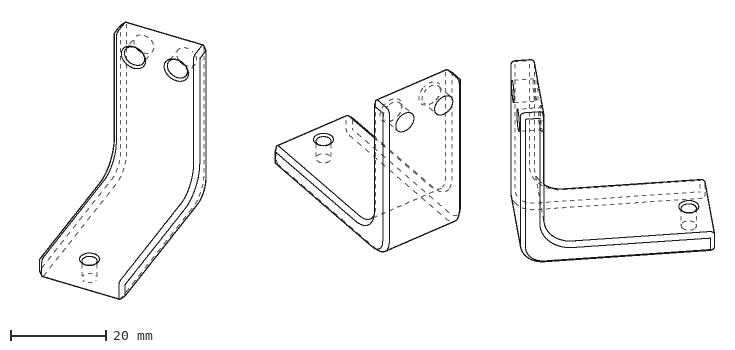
import cadquery as cq

width = 20.0
depth = 41.1
height = 39.9

thickness = 5.0
inner_bend_radius = 6.0
outer_bend_radius = 5.0

edge_size = 1.0
tip_radius = edge_size + 0.005

wall_hole_diameter = 4.7
wall_hole_spacing = 10.0
wall_hole_from_top = 5.0
foot_hole_diameter = 3.2
foot_hole_from_tip = 4.5
hole_chamfer = 0.5

back_y = depth / 2
tip_y = -depth / 2
wall_y = back_y - thickness


def bracket_body():
    """L-shaped bar with a rounded bend, rounded tips and chamfered sides."""
    profile = [
        (tip_y, 0),
        (back_y, 0),
        (back_y, height),
        (wall_y, height),
        (wall_y, thickness),
        (tip_y, thickness),
    ]
    body = cq.Workplane("YZ").polyline(profile).close().extrude(width / 2, both=True)

    def cross_edge(y, z):
        return body.edges(cq.selectors.NearestToPointSelector((0, y, z)))

    body = cross_edge(wall_y, thickness).fillet(inner_bend_radius)
    body = cross_edge(back_y, 0).fillet(outer_bend_radius)
    for y, z in [(tip_y, 0), (tip_y, thickness), (wall_y, height), (back_y, height)]:
        body = cross_edge(y, z).fillet(tip_radius)
    return body.faces("<X or >X").chamfer(edge_size)


def hole_cutter(face_plane, diameter):
    """Through-hole cutter with a chamfered mouth on the plane, cutting against its normal."""
    mouth = cq.Workplane(face_plane).circle(diameter / 2 + hole_chamfer)
    mouth = mouth.workplane(offset=-hole_chamfer).circle(diameter / 2).loft(ruled=True)
    bore = cq.Workplane(face_plane).circle(diameter / 2).extrude(-thickness)
    return mouth.union(bore)


result = bracket_body()

for x in (-wall_hole_spacing / 2, wall_hole_spacing / 2):
    wall_face = cq.Plane((x, wall_y, height - wall_hole_from_top), (1, 0, 0), (0, -1, 0))
    result = result.cut(hole_cutter(wall_face, wall_hole_diameter))

foot_face = cq.Plane((0, tip_y + foot_hole_from_tip, thickness), (1, 0, 0), (0, 0, 1))
result = result.cut(hole_cutter(foot_face, foot_hole_diameter))